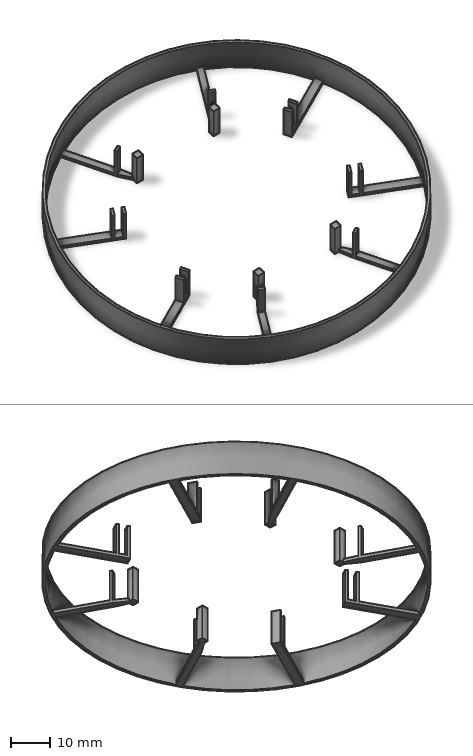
import cadquery as cq

ring_diameter = 99.4
ring_bore = 97.8
height = 10.0
ring_wall = (ring_diameter - ring_bore) / 2

spoke_height = 1.0
spoke_tilt = 27.5
spoke_end_radius = (ring_diameter - ring_wall) / 2
plate_thickness = 0.8

wide_spoke_width = 2.4
wide_spoke_start = 29.2
wide_spoke_offset = 1.3
wide_plate_pitch = 3.0

narrow_spoke_width = 1.9
narrow_plate_start = 33.0
post_side = 2.0
post_x = 24.9
post_y = 12.5
neck_end = 27.8
neck_end_side_low = -0.6
neck_end_side_high = 0.2


def bar(start, end, width, side, bar_height):
    """Box along +X from start to end, centred sideways on Y = side, standing on Z = 0."""
    return (
        cq.Workplane("XY")
        .center((start + end) / 2, side)
        .rect(end - start, width)
        .extrude(bar_height)
    )


def turn(body, angle):
    """Rotate about the Z axis."""
    return body.rotate((0, 0, 0), (0, 0, 1), angle)


def wide_spoke():
    """Wide spoke with two upright plates, in the +X +Y quarter."""
    spoke = bar(wide_spoke_start, spoke_end_radius, wide_spoke_width, wide_spoke_offset, spoke_height)
    for start in (wide_spoke_start, wide_spoke_start + wide_plate_pitch):
        end = start + plate_thickness
        spoke = spoke.union(bar(start, end, wide_spoke_width, wide_spoke_offset, height))
    return turn(spoke, 90 - spoke_tilt)


def narrow_spoke():
    """Narrow spoke with one plate, a tapered neck and a square post, in the +X +Y quarter."""
    half_width = narrow_spoke_width / 2
    plate_end = narrow_plate_start + plate_thickness
    spoke = bar(narrow_plate_start, spoke_end_radius, narrow_spoke_width, 0, spoke_height)
    plate = bar(narrow_plate_start, plate_end, narrow_spoke_width, 0, height)
    neck = (
        cq.Workplane("XY")
        .polyline([
            (narrow_plate_start, -half_width),
            (narrow_plate_start, half_width),
            (neck_end, neck_end_side_high),
            (neck_end, neck_end_side_low),
        ])
        .close()
        .extrude(spoke_height)
    )
    post = cq.Workplane("XY").center(post_x, post_y).rect(post_side, post_side).extrude(height)
    return turn(spoke.union(plate).union(neck), spoke_tilt).union(post)


ring = (
    cq.Workplane("XY")
    .circle(ring_diameter / 2)
    .circle(ring_bore / 2)
    .extrude(height)
)

quarter = wide_spoke().union(narrow_spoke())
half = quarter.union(quarter.mirror("YZ"))
spokes = half.union(half.mirror("XZ"))

result = ring.union(spokes)